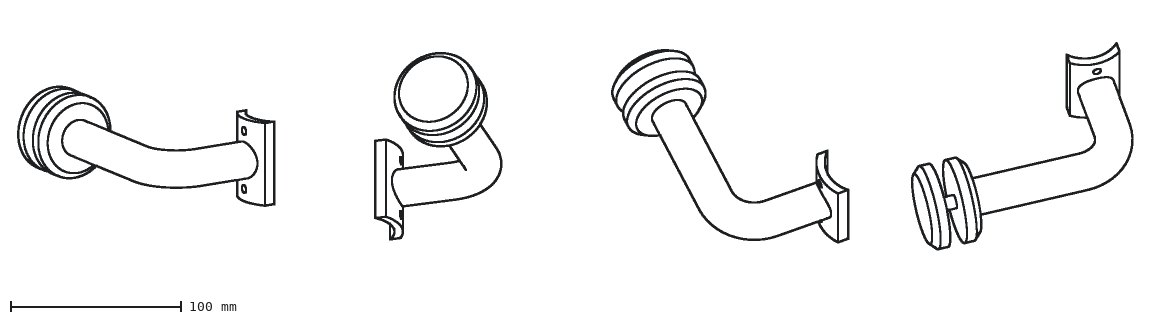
import cadquery as cq
import math

disc_diameter = 50.0
disc_thickness = 10.0
disc_chamfer = 4.0
clamp_gap = 10.1
stud_diameter = 8.0

arm_diameter = 22.0
bend_radius = 24.8

overall_length = 138.3
overall_depth = 92.4
saddle_width = 30.4
saddle_height = disc_diameter
rail_radius = 21.2
saddle_thickness = 5.0
screw_hole_diameter = 4.5
screw_hole_offset = 17.5

inner_disc_x = disc_thickness + clamp_gap
arm_start_x = inner_disc_x + disc_thickness
saddle_x = overall_length - saddle_width / 2
bend_start_x = saddle_x - bend_radius
saddle_tip_y = overall_depth - disc_diameter / 2
rail_axis_y = saddle_tip_y + math.sqrt(rail_radius**2 - (saddle_width / 2) ** 2)
saddle_outer_radius = rail_radius + saddle_thickness


def make_disc(x, chamfered_side):
    """Disc starting at x, chamfered on its "<X" or ">X" face."""
    disc = cq.Workplane("YZ", origin=(x, 0, 0)).circle(disc_diameter / 2).extrude(disc_thickness)
    return disc.faces(chamfered_side).chamfer(disc_chamfer)


def make_stud():
    """Thin rod that spans the clamp gap between the two discs."""
    return cq.Workplane("YZ", origin=(disc_thickness, 0, 0)).circle(stud_diameter / 2).extrude(clamp_gap)


def make_arm():
    """Round bar from the inner disc, through a quarter bend, to the handrail axis."""
    path = (
        cq.Workplane("XY")
        .moveTo(arm_start_x, 0)
        .lineTo(bend_start_x, 0)
        .radiusArc((saddle_x, bend_radius), -bend_radius)
        .lineTo(saddle_x, rail_axis_y)
    )
    return cq.Workplane("YZ", origin=(arm_start_x, 0, 0)).circle(arm_diameter / 2).sweep(path)


def make_rail_cylinder(radius):
    """Upright cylinder on the handrail axis, as tall as the saddle."""
    base = cq.Workplane("XY", origin=(saddle_x, rail_axis_y, -saddle_height / 2))
    return base.circle(radius).extrude(saddle_height)


def make_screw_holes():
    """Two holes along Y, one above and one below the arm."""
    return (
        cq.Workplane("XZ", origin=(saddle_x, rail_axis_y, 0))
        .pushPoints([(0, -screw_hole_offset), (0, screw_hole_offset)])
        .circle(screw_hole_diameter / 2)
        .extrude(saddle_outer_radius)
    )


def make_bracket():
    """Clamp discs, stud and arm in one piece, the arm end coped to sit on the saddle."""
    arm = make_arm().cut(make_rail_cylinder(saddle_outer_radius))
    outer_disc = make_disc(0, "<X")
    inner_disc = make_disc(inner_disc_x, ">X")
    return outer_disc.union(make_stud()).union(inner_disc).union(arm)


def make_saddle():
    """Curved plate with two screw holes: the slice of a handrail sleeve facing the arm."""
    block = cq.Workplane("XY", origin=(saddle_x, rail_axis_y - saddle_outer_radius, 0)).box(
        saddle_width, saddle_outer_radius, saddle_height, centered=(True, False, True)
    )
    sleeve = make_rail_cylinder(saddle_outer_radius).cut(make_rail_cylinder(rail_radius))
    return sleeve.intersect(block).cut(make_screw_holes())


bracket = make_bracket().solids()
saddle = make_saddle().solids()
result = cq.Compound.makeCompound([bracket.val(), saddle.val()])